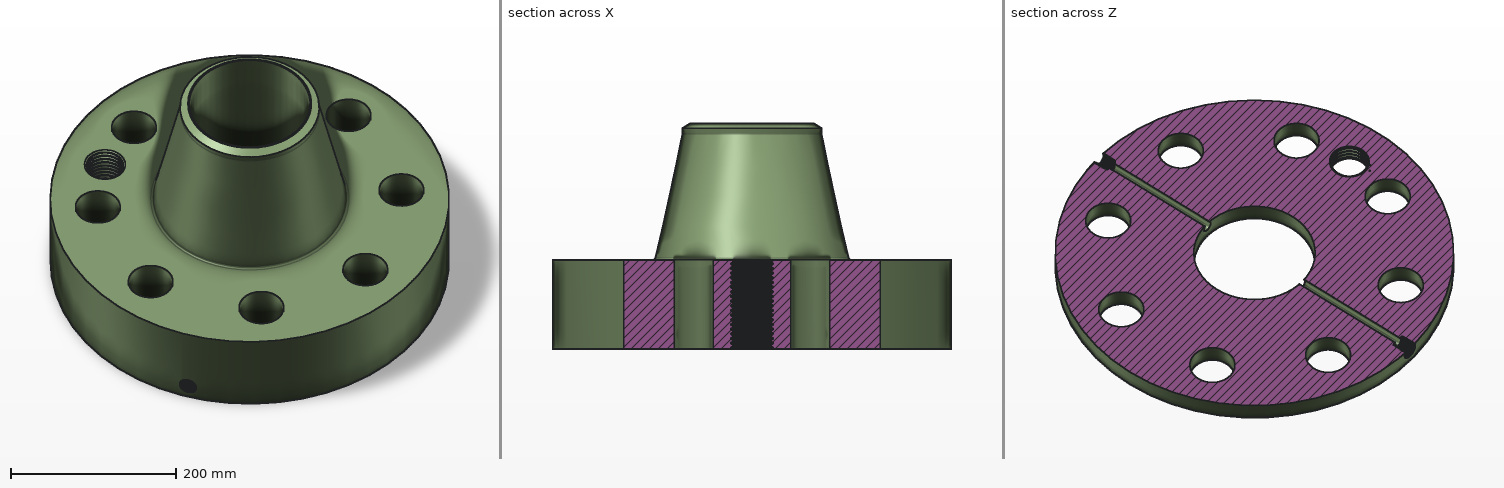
import cadquery as cq
import math

FLANGE_DIAMETER = 482.6
FLANGE_THICKNESS = 107.95
TOTAL_HEIGHT = 273.05

BORE_DIAMETER = 146.3
NECK_DIAMETER = 168.3
HUB_BASE_DIAMETER = 235.0
NECK_STRAIGHT_LENGTH = 6.4
HUB_FILLET_RADIUS = 3.2

LAND_WIDTH = 1.6
BEVEL_HEIGHT = 6.0

BOLT_CIRCLE_DIAMETER = 368.3
BOLT_HOLE_DIAMETER = 54.0
BOLT_HOLE_COUNT = 8

INCH = 25.4

JACK_MAJOR_DIAMETER = 2 * INCH
JACK_PITCH = INCH / 4.5
JACK_HALF_FLANK_ANGLE = 30
JACK_ROOT_WIDTH = JACK_PITCH / 8
JACK_CREST_WIDTH = JACK_PITCH / 4
JACK_GROOVE_RISE = 0.75

TAP_HEIGHT = 17.8
TAP_BORE_DIAMETER = 13.0
TAP_MAJOR_DIAMETER = 21.3
TAP_PITCH = INCH / 14
TAP_THREAD_DEPTH = 0.8 * TAP_PITCH
TAP_TURNS = 11
TAP_RADIAL_TAPER = 1 / 32

OVERRUN = 1.0


def flange_body():
    """Flange plate and conical hub turned about Z, bored through along Z."""
    flange_radius = FLANGE_DIAMETER / 2
    hub_base_radius = HUB_BASE_DIAMETER / 2
    neck_radius = NECK_DIAMETER / 2
    bore_radius = BORE_DIAMETER / 2
    bevel_base = TOTAL_HEIGHT - BEVEL_HEIGHT
    cone_top = bevel_base - NECK_STRAIGHT_LENGTH
    body = (
        cq.Workplane("XZ")
        .moveTo(bore_radius, 0)
        .lineTo(flange_radius, 0)
        .lineTo(flange_radius, FLANGE_THICKNESS)
        .lineTo(hub_base_radius, FLANGE_THICKNESS)
        .lineTo(neck_radius, cone_top)
        .lineTo(neck_radius, bevel_base)
        .lineTo(bore_radius + LAND_WIDTH, TOTAL_HEIGHT)
        .lineTo(bore_radius, TOTAL_HEIGHT)
        .close()
        .revolve(360, (0, 0, 0), (0, 1, 0))
    )
    hub_root = body.faces("<Z[1]").edges("%CIRCLE").edges(cq.selectors.RadiusNthSelector(0))
    return hub_root.fillet(HUB_FILLET_RADIUS)


def bolt_holes():
    """Through holes evenly spaced on the bolt circle."""
    first_angle = 180 / BOLT_HOLE_COUNT
    return (
        cq.Workplane("XY")
        .polarArray(BOLT_CIRCLE_DIAMETER / 2, first_angle, 360, BOLT_HOLE_COUNT)
        .circle(BOLT_HOLE_DIAMETER / 2)
        .extrude(FLANGE_THICKNESS)
    )


def jack_screw_hole():
    """Through hole centred on Z with level thread rings, a groove opening at the top face."""
    major_radius = JACK_MAJOR_DIAMETER / 2
    root_half = JACK_ROOT_WIDTH / 2
    mouth_half = (JACK_PITCH - JACK_CREST_WIDTH) / 2
    thread_depth = (mouth_half - root_half) / math.tan(math.radians(JACK_HALF_FLANK_ANGLE))
    minor_radius = major_radius - thread_depth
    ring = (
        cq.Workplane("XZ")
        .moveTo(0, -mouth_half)
        .lineTo(minor_radius, -mouth_half)
        .lineTo(major_radius, -root_half)
        .lineTo(major_radius, root_half)
        .lineTo(minor_radius, mouth_half)
        .lineTo(0, mouth_half)
        .close()
        .revolve(360, (0, 0, 0), (0, 1, 0))
    )
    hole = cq.Workplane("XY").circle(minor_radius).extrude(FLANGE_THICKNESS)
    top_groove = FLANGE_THICKNESS + JACK_GROOVE_RISE
    groove_count = math.ceil(top_groove / JACK_PITCH)
    for index in range(groove_count):
        hole = hole.union(ring.translate((0, 0, top_groove - index * JACK_PITCH)))
    return hole


def pressure_tap():
    """Tap along -Y: a bore into the flange bore and a tapered, grooved thread at the rim."""
    rim = FLANGE_DIAMETER / 2
    crest_radius = TAP_MAJOR_DIAMETER / 2 - TAP_THREAD_DEPTH
    profile = cq.Workplane("XY").moveTo(0, -rim - OVERRUN).lineTo(crest_radius, -rim - OVERRUN)
    profile = profile.lineTo(crest_radius, -rim)
    for turn in range(TAP_TURNS):
        root_depth = (turn + 0.5) * TAP_PITCH
        end_depth = (turn + 1) * TAP_PITCH
        root_radius = TAP_MAJOR_DIAMETER / 2 - root_depth * TAP_RADIAL_TAPER
        end_radius = crest_radius - end_depth * TAP_RADIAL_TAPER
        profile = profile.lineTo(root_radius, root_depth - rim).lineTo(end_radius, end_depth - rim)
    thread_end = TAP_TURNS * TAP_PITCH - rim
    profile = (
        profile.lineTo(TAP_BORE_DIAMETER / 2, thread_end)
        .lineTo(TAP_BORE_DIAMETER / 2, 0)
        .lineTo(0, 0)
        .close()
    )
    tap = profile.revolve(360, (0, 0, 0), (0, 1, 0))
    return tap.translate((0, 0, TAP_HEIGHT))


jack_position = (-BOLT_CIRCLE_DIAMETER / 2, 0, 0)
near_tap = pressure_tap()
far_tap = near_tap.mirror("XZ")

flange = flange_body()
flange = flange.cut(bolt_holes())
flange = flange.cut(near_tap).cut(far_tap)
result = flange.cut(jack_screw_hole().translate(jack_position)).solids()